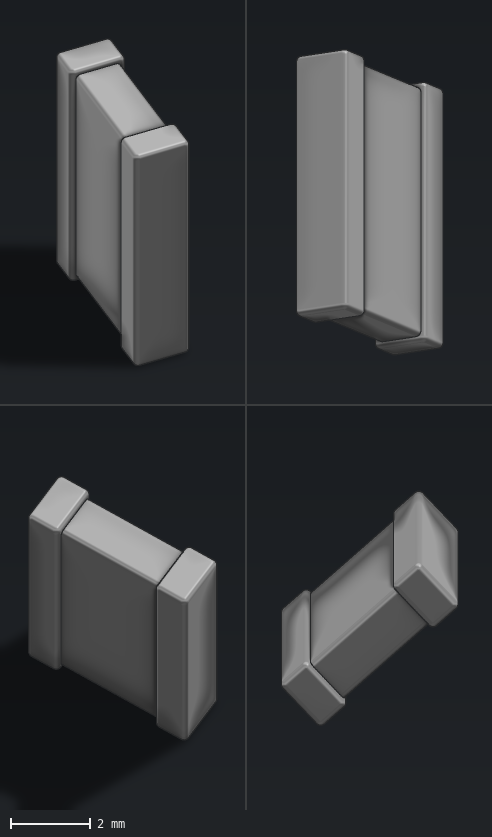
import cadquery as cq

TOTAL_LENGTH = 4.8
TERMINAL_DEPTH = 1.55
TERMINAL_HEIGHT = 6.8

TERMINAL_LENGTH = 0.95
EDGE_RADIUS = 0.14

BODY_LENGTH = TOTAL_LENGTH - 2 * TERMINAL_LENGTH
BODY_DEPTH = TERMINAL_DEPTH - 2 * EDGE_RADIUS
BODY_HEIGHT = TERMINAL_HEIGHT - 2 * EDGE_RADIUS

TERMINAL_OFFSET = (TOTAL_LENGTH - TERMINAL_LENGTH) / 2


def make_body():
    """Centre block, rounded along its four edges that run from terminal to terminal."""
    return cq.Workplane("XY").box(BODY_LENGTH, BODY_DEPTH, BODY_HEIGHT).edges("|X").fillet(EDGE_RADIUS)


def make_terminal(center_x):
    """Solid end block with all twelve edges rounded."""
    block = cq.Workplane("XY").box(TERMINAL_LENGTH, TERMINAL_DEPTH, TERMINAL_HEIGHT)
    return block.edges().fillet(EDGE_RADIUS).translate((center_x, 0, 0))


body = make_body()
terminals = [make_terminal(side * TERMINAL_OFFSET) for side in (-1, 1)]

result = cq.Compound.makeCompound([body.val(), *[terminal.val() for terminal in terminals]])